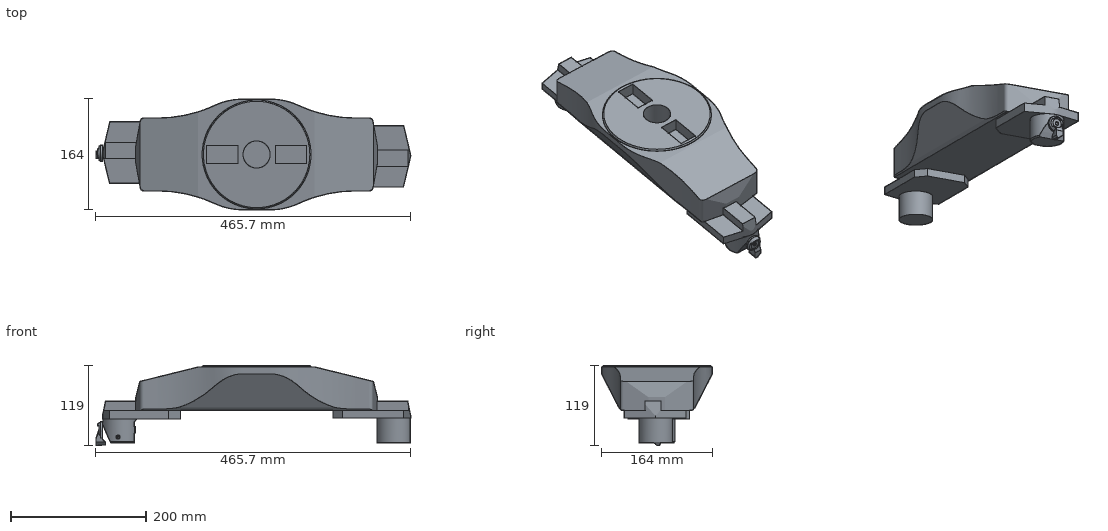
import cadquery as cq
import math


WAIST_HALF_WIDTH = 82.0
END_HALF_WIDTH = 54.0
WAIST_FLAT_X = 20.0
SWEEP_END_X = 146.5
FLANK_JOIN_X = 62.0
END_CORNER_FILLET = 5.5

BRIDGE_HEIGHT = 64.5
TOP_FLAT_X = 86.0
SHOULDER_X = 173.0
SHOULDER_Z = 43.0
PAD_X = 179.0
PAD_HALF_WIDTH = 12.0
PAD_HEIGHT = 19.0
END_FACET_SLOPE = 0.18

FLOOR_HALF_WIDTH = 52.0
FLOOR_CHAMFER = 4.0
UNDERCUT_TOP_Z = 54.0

DISC_DIAMETER = 161.0
DISC_HEIGHT = 2.5
DISC_CHAMFER = 2.0
BORE_DIAMETER = 40.0
BORE_DEPTH = 37.5
SLOT_LENGTH = 46.0
SLOT_WIDTH = 27.0
SLOT_DEPTH = 19.0
SLOT_X = 51.0

BARREL_DIAMETER = 50.0
BARREL_RADIUS = BARREL_DIAMETER / 2
BARREL_BOTTOM_Z = -48.0
AXIS_OFFSET = 2.0
BARREL_AXIS_X = 202.5
NOSE_ANGLE = 13.4
PLATE_NEAR_Y = -43.0
PLATE_FAR_Y = 48.5
HOLDER_PLATE_THICKNESS = 13.0
HOLDER_PLATE_INNER_X = 112.5
HOLDER_PLATE_CHAMFER = 18.0
WEIGHT_PLATE_THICKNESS = 11.5
WEIGHT_PLATE_INNER_X = 112.8
WEIGHT_PLATE_CHAMFER = 14.5
RIB_WIDTH = 23.8
RIB_CENTRE_Y = 5.5
RIB_HEIGHT = 13.5
RIB_NOSE_SETBACK = 4.5
RIB_NOSE_LEAN = 0.21

RELIEF_TOP_Z = -21.5
RELIEF_BREAK_X = -219.5
RELIEF_BREAK_Z = -40.5
RELIEF_BOTTOM_X = -215.7
BARREL_BOTTOM_CHAMFER = 2.0
BACK_FLAT_X = -181.0
BACK_FLAT_TOP_Z = -17.0
STUD_DIAMETER = 9.5
STUD_HEIGHT = 2.0
STUD_Z = -29.0
CROSS_HOLE_DIAMETER = 6.0
CROSS_HOLE_DEPTH = 2.0
CROSS_PILOT_DIAMETER = 3.0
CROSS_PILOT_DEPTH = 7.0
CROSS_HOLE_X = -205.0
CROSS_HOLE_Z = -39.5

EYE_Z = -29.0
EYE_DIAMETER = 24.0
EYE_FACE_DIAMETER = 17.5
EYE_BACK_X = -228.0
EYE_RIM_X = -230.5
EYE_FACE_X = -235.5
SCREW_FACE_X = -233.5
SCREW_HEAD_BOTTOM_X = -230.5
SCREW_HEAD_DIAMETER = 14.0
SCREW_SHANK_DIAMETER = 8.5
SOCKET_DIAMETER = 5.0
SOCKET_DEPTH = 2.0
EYE_GROOVE_HEIGHT = 12.0
TIP_X = -237.5
TIP_BACK_X = -223.0
TIP_Z = -52.0
TIP_HEEL_Z = -51.3
TIP_RAKE_Z = -41.0
TIP_FLARE_Z = -47.0
TIP_FLARE_RUN = 4.0
TIP_SIDE_Z = -49.0
TIP_POINT_NEAR_Y = 0.5
TIP_POINT_FAR_Y = 3.5
SHANK_NEAR_Y = -6.0
SHANK_FAR_Y = 5.0
LUG_Y = -10.0
LUG_BOTTOM_Z = -41.0


def x_cylinder(diameter, x_from, x_to, y, z):
    """Cylinder along X between two X positions."""
    length = x_to - x_from
    return cq.Workplane("YZ", origin=(x_from, y, z)).circle(diameter / 2).extrude(length)


def bridge_plan():
    """Waisted prism: straight ends, S-shaped flanks and ends that come to a blunt wedge."""
    share = (SWEEP_END_X - FLANK_JOIN_X) / (SWEEP_END_X - WAIST_FLAT_X)
    join_y = END_HALF_WIDTH + share * (WAIST_HALF_WIDTH - END_HALF_WIDTH)
    corner_x = PAD_X - END_FACET_SLOPE * (END_HALF_WIDTH - PAD_HALF_WIDTH)
    quarter = (
        cq.Workplane("XY")
        .moveTo(0, 0)
        .lineTo(PAD_X, 0)
        .lineTo(PAD_X, PAD_HALF_WIDTH)
        .lineTo(corner_x, END_HALF_WIDTH)
        .lineTo(SWEEP_END_X, END_HALF_WIDTH)
        .tangentArcPoint((FLANK_JOIN_X, join_y), relative=False)
        .tangentArcPoint((WAIST_FLAT_X, WAIST_HALF_WIDTH), relative=False)
        .lineTo(0, WAIST_HALF_WIDTH)
        .close()
        .extrude(BRIDGE_HEIGHT)
    )
    corner = cq.selectors.NearestToPointSelector((corner_x, END_HALF_WIDTH, BRIDGE_HEIGHT / 2))
    quarter = quarter.edges(corner).fillet(END_CORNER_FILLET)
    half = quarter.union(quarter.mirror("XZ"))
    return half.union(half.mirror("YZ")).clean()


def bridge_side_envelope():
    """Prism along Y: flat top, sloping arms and leaning upper ends."""
    right_side = [
        (PAD_X, 0),
        (PAD_X, PAD_HEIGHT),
        (SHOULDER_X, SHOULDER_Z),
        (TOP_FLAT_X, BRIDGE_HEIGHT),
    ]
    left_side = [(-x, z) for x, z in reversed(right_side)]
    profile = cq.Workplane("XZ").polyline(right_side + left_side).close()
    return profile.extrude(WAIST_HALF_WIDTH, both=True)


def bridge_end_envelope():
    """Prism along X: upright upper sides, undercut below and chamfered at the floor."""
    right_side = [
        (FLOOR_HALF_WIDTH, 0),
        (FLOOR_HALF_WIDTH + FLOOR_CHAMFER, FLOOR_CHAMFER),
        (WAIST_HALF_WIDTH, UNDERCUT_TOP_Z),
        (WAIST_HALF_WIDTH, BRIDGE_HEIGHT),
    ]
    left_side = [(-y, z) for y, z in reversed(right_side)]
    return cq.Workplane("YZ").polyline(right_side + left_side).close().extrude(PAD_X, both=True)


def make_bridge():
    body = bridge_plan().intersect(bridge_side_envelope()).intersect(bridge_end_envelope())
    disc = (
        cq.Workplane("XY", origin=(0, 0, BRIDGE_HEIGHT))
        .circle(DISC_DIAMETER / 2)
        .extrude(DISC_HEIGHT)
        .faces(">Z")
        .chamfer(DISC_CHAMFER)
    )
    disc_top = cq.Workplane("XY", origin=(0, 0, BRIDGE_HEIGHT + DISC_HEIGHT))
    bore = disc_top.circle(BORE_DIAMETER / 2).extrude(-BORE_DEPTH)
    slots = (
        disc_top.pushPoints([(-SLOT_X, 0), (SLOT_X, 0)])
        .rect(SLOT_LENGTH, SLOT_WIDTH)
        .extrude(-SLOT_DEPTH)
    )
    return body.union(disc).cut(bore).cut(slots)


def make_slide(thickness, inner_x, chamfer, nose_radius=0):
    """Plate with a pointed nose, optionally rounded, and a rib that butts against the bridge's end."""
    nose_rise = math.tan(math.radians(NOSE_ANGLE))
    point_x = -BARREL_AXIS_X - BARREL_RADIUS / math.cos(math.radians(NOSE_ANGLE))
    outline = [
        (point_x, AXIS_OFFSET),
        (point_x + nose_rise * (AXIS_OFFSET - PLATE_NEAR_Y), PLATE_NEAR_Y),
        (-inner_x - chamfer, PLATE_NEAR_Y),
        (-inner_x, PLATE_NEAR_Y + chamfer),
        (-inner_x, PLATE_FAR_Y - chamfer),
        (-inner_x - chamfer, PLATE_FAR_Y),
        (point_x + nose_rise * (PLATE_FAR_Y - AXIS_OFFSET), PLATE_FAR_Y),
    ]
    block = (
        cq.Workplane("XY", origin=(0, 0, -thickness))
        .polyline(outline)
        .close()
        .extrude(thickness + RIB_HEIGHT)
    )
    if nose_radius > 0:
        block = block.edges("|Z and <X").fillet(nose_radius)

    rib_top_x = point_x + RIB_NOSE_SETBACK
    nose_foot_x = rib_top_x - RIB_NOSE_LEAN * (RIB_HEIGHT + thickness)
    rib_strip = cq.Workplane("XZ", origin=(0, RIB_CENTRE_Y, 0))
    nose_trim = (
        rib_strip.moveTo(rib_top_x, RIB_HEIGHT)
        .lineTo(nose_foot_x, -thickness)
        .lineTo(nose_foot_x, RIB_HEIGHT)
        .close()
        .extrude(RIB_WIDTH / 2, both=True)
    )
    rib_envelope = (
        rib_strip.moveTo(point_x, 0)
        .lineTo(point_x, RIB_HEIGHT)
        .lineTo(-SHOULDER_X, RIB_HEIGHT)
        .lineTo(-SHOULDER_X, 0)
        .close()
        .extrude(RIB_WIDTH / 2, both=True)
    )
    plate_length = -inner_x - point_x
    plate_envelope = (
        cq.Workplane("XY")
        .center(point_x + plate_length / 2, 0)
        .rect(plate_length, 2 * PLATE_FAR_Y)
        .extrude(-thickness)
    )
    block = block.cut(nose_trim)
    return block.intersect(plate_envelope).union(block.intersect(rib_envelope))


def make_tool_holder():
    """Barrel with a two-step relief behind the insert, a flat back with a stud and a cross hole."""
    top_z = -HOLDER_PLATE_THICKNESS
    outer_x = -BARREL_AXIS_X - BARREL_RADIUS
    barrel = (
        cq.Workplane("XY", origin=(-BARREL_AXIS_X, AXIS_OFFSET, BARREL_BOTTOM_Z))
        .circle(BARREL_RADIUS)
        .extrude(top_z - BARREL_BOTTOM_Z)
        .faces("<Z")
        .chamfer(BARREL_BOTTOM_CHAMFER)
    )
    relief = (
        cq.Workplane("XZ", origin=(0, AXIS_OFFSET, 0))
        .polyline(
            [
                (outer_x, RELIEF_TOP_Z),
                (RELIEF_BREAK_X, RELIEF_BREAK_Z),
                (RELIEF_BOTTOM_X, BARREL_BOTTOM_Z),
                (outer_x, BARREL_BOTTOM_Z),
            ]
        )
        .close()
        .extrude(BARREL_RADIUS, both=True)
    )
    inner_x = -BARREL_AXIS_X + BARREL_RADIUS
    flat_run = inner_x - BACK_FLAT_X
    back_flat = (
        cq.Workplane("XZ", origin=(0, AXIS_OFFSET, 0))
        .polyline(
            [
                (inner_x, BACK_FLAT_TOP_Z + flat_run),
                (BACK_FLAT_X, BACK_FLAT_TOP_Z),
                (BACK_FLAT_X, BARREL_BOTTOM_Z),
                (inner_x, BARREL_BOTTOM_Z),
            ]
        )
        .close()
        .extrude(BARREL_RADIUS, both=True)
    )
    stud = x_cylinder(STUD_DIAMETER, -BARREL_AXIS_X, BACK_FLAT_X + STUD_HEIGHT, AXIS_OFFSET, STUD_Z)
    hole_mouth = cq.Workplane("XZ", origin=(CROSS_HOLE_X, AXIS_OFFSET - BARREL_RADIUS, CROSS_HOLE_Z))
    cross_hole = (
        hole_mouth.circle(CROSS_HOLE_DIAMETER / 2)
        .extrude(-CROSS_HOLE_DEPTH)
        .union(hole_mouth.circle(CROSS_PILOT_DIAMETER / 2).extrude(-CROSS_PILOT_DEPTH))
    )
    return barrel.cut(relief).cut(back_flat).union(stud).cut(cross_hole)


def make_counterweight():
    top_z = -WEIGHT_PLATE_THICKNESS
    return (
        cq.Workplane("XY", origin=(BARREL_AXIS_X, -AXIS_OFFSET, BARREL_BOTTOM_Z))
        .circle(BARREL_RADIUS)
        .extrude(top_z - BARREL_BOTTOM_Z)
    )


def make_insert_screw():
    """Flush cap screw that fills the insert's counterbored hole."""
    head = x_cylinder(SCREW_HEAD_DIAMETER, SCREW_FACE_X, SCREW_HEAD_BOTTOM_X, AXIS_OFFSET, EYE_Z)
    shank = x_cylinder(SCREW_SHANK_DIAMETER, SCREW_HEAD_BOTTOM_X, EYE_BACK_X, AXIS_OFFSET, EYE_Z)
    socket = x_cylinder(SOCKET_DIAMETER, SCREW_FACE_X, SCREW_FACE_X + SOCKET_DEPTH, AXIS_OFFSET, EYE_Z)
    return head.union(shank).cut(socket)


def make_insert():
    """Round eye that holds the screw, with a shank below it that flares into the cutting tip."""
    eye = x_cylinder(EYE_DIAMETER, EYE_FACE_X, EYE_BACK_X, AXIS_OFFSET, EYE_Z)
    eye = eye.faces("<X").chamfer(EYE_RIM_X - EYE_FACE_X, (EYE_DIAMETER - EYE_FACE_DIAMETER) / 2)

    side_profile = [
        (SCREW_FACE_X, EYE_Z),
        (TIP_X, TIP_RAKE_Z),
        (TIP_X, TIP_Z),
        (TIP_BACK_X, TIP_HEEL_Z),
        (TIP_BACK_X, TIP_FLARE_Z),
        (EYE_BACK_X, TIP_FLARE_Z + TIP_FLARE_RUN),
        (EYE_BACK_X, EYE_Z),
    ]
    front_profile = [
        (SHANK_FAR_Y, EYE_Z),
        (SHANK_FAR_Y, TIP_SIDE_Z),
        (TIP_POINT_FAR_Y, TIP_Z),
        (TIP_POINT_NEAR_Y, TIP_Z),
        (SHANK_NEAR_Y, TIP_FLARE_Z),
        (SHANK_NEAR_Y, EYE_Z),
    ]
    side = cq.Workplane("XZ").polyline(side_profile).close().extrude(EYE_DIAMETER, both=True)
    front = cq.Workplane("YZ").polyline(front_profile).close().extrude(TIP_X)
    shank = side.intersect(front)
    lug = (
        cq.Workplane("YZ", origin=(EYE_BACK_X, 0, 0))
        .polyline([(AXIS_OFFSET, EYE_Z), (LUG_Y, EYE_Z), (LUG_Y, LUG_BOTTOM_Z), (AXIS_OFFSET, LUG_BOTTOM_Z)])
        .close()
        .extrude(EYE_RIM_X - EYE_BACK_X)
    )

    seat = x_cylinder(SCREW_HEAD_DIAMETER, TIP_X, SCREW_HEAD_BOTTOM_X, AXIS_OFFSET, EYE_Z)
    hole = x_cylinder(SCREW_SHANK_DIAMETER, TIP_X, EYE_BACK_X, AXIS_OFFSET, EYE_Z)
    groove_length = 2 * EYE_DIAMETER
    groove = (
        cq.Workplane("YZ", origin=(SCREW_FACE_X, AXIS_OFFSET, EYE_Z))
        .rect(groove_length, EYE_GROOVE_HEIGHT)
        .extrude(EYE_FACE_X - SCREW_FACE_X)
    )
    return eye.cut(groove).union(shank).union(lug).cut(seat).cut(hole)


bridge = make_bridge()
holder_slide = make_slide(
    HOLDER_PLATE_THICKNESS, HOLDER_PLATE_INNER_X, HOLDER_PLATE_CHAMFER, BARREL_RADIUS
).cut(bridge)
weight_slide = (
    make_slide(WEIGHT_PLATE_THICKNESS, WEIGHT_PLATE_INNER_X, WEIGHT_PLATE_CHAMFER)
    .rotate((0, 0, 0), (0, 0, 1), 180)
    .cut(bridge)
)
tool_holder = make_tool_holder()
counterweight = make_counterweight()
insert = make_insert()
insert_screw = make_insert_screw()

bodies = [bridge, holder_slide, weight_slide, tool_holder, counterweight, insert, insert_screw]
result = cq.Compound.makeCompound([body.solids().val() for body in bodies])